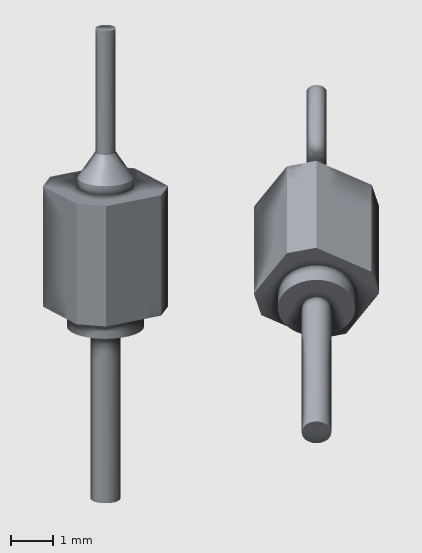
import cadquery as cq

housing_width = 2.54
housing_height = 3.0
housing_chamfer = 0.508

flange_diameter = 1.82
flange_height = 0.5
tail_diameter = 0.70
tail_length = 4.29
collar_diameter = 1.32
collar_height = 0.22
cone_height = 0.64
lead_diameter = 0.48
lead_length = 3.08

housing_top = housing_height
collar_top = housing_top + collar_height
cone_top = collar_top + cone_height
flange_bottom = -flange_height
tail_bottom = flange_bottom - tail_length


def cylinder(diameter, height, base_z):
    """Upright cylinder on the common axis, standing on base_z."""
    return cq.Workplane("XY").workplane(offset=base_z).circle(diameter / 2).extrude(height)


def make_housing():
    block = cq.Workplane("XY").rect(housing_width, housing_width).extrude(housing_height)
    return block.edges("|Z").chamfer(housing_chamfer)


def make_cone():
    """Tapers from the collar diameter down to the lead diameter."""
    return (
        cq.Workplane("XZ")
        .moveTo(0, collar_top)
        .lineTo(collar_diameter / 2, collar_top)
        .lineTo(lead_diameter / 2, cone_top)
        .lineTo(0, cone_top)
        .close()
        .revolve(360, (0, 0), (0, 1))
    )


tail = cylinder(tail_diameter, tail_length, tail_bottom)
flange = cylinder(flange_diameter, flange_height, flange_bottom)
housing = make_housing()
collar = cylinder(collar_diameter, collar_height, housing_top)
cone = make_cone()
lead = cylinder(lead_diameter, lead_length, cone_top)

result = cq.Compound.makeCompound(
    [tail.val(), flange.val(), housing.val(), collar.val(), cone.val(), lead.val()]
)